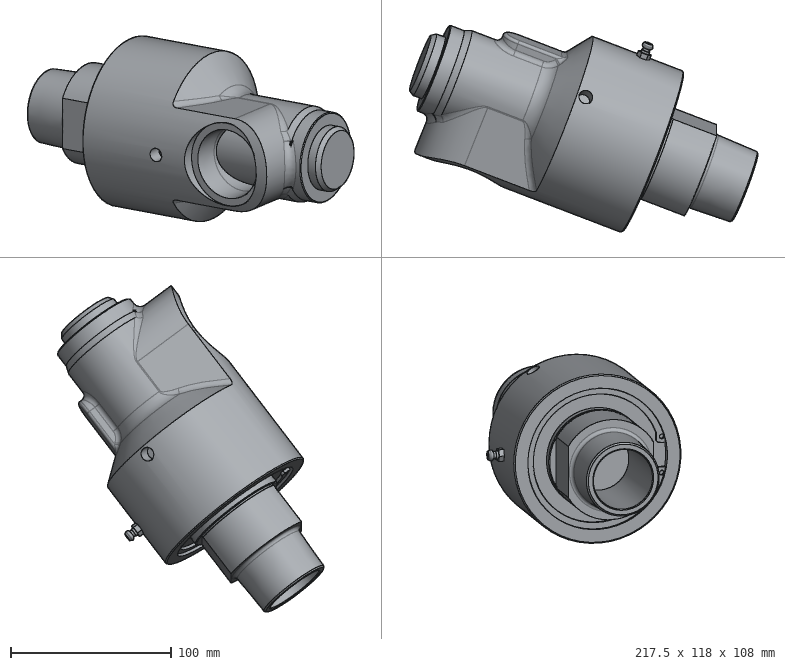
import cadquery as cq
import math

THREAD_END = 27.4
COLLAR_START = 29.7
COLLAR_END = 58.8
FLANGE_START = 60.1
BODY_START = 61.9
CONE_START = 122.9
TAIL_START = 147.0
TAIL_STEP_START = 194.8
TAIL_STEP_END = 199.3
TAIL_END = 208.8
PLUG_CHAMFER_START = 214.6
TOTAL_LENGTH = 217.53

TOTAL_WIDTH = 117.99

SHAFT_BORE_R = 38.1 / 2
SHAFT_BORE_DEPTH = 58.0
SHAFT_BORE_CHAMFER = 0.6
THREAD_START_R = 23.5
THREAD_END_R = 24.5
THREAD_CHAMFER = 1.0
COLLAR_FILLET_R = 53.7 / 2
COLLAR_R = 64.0 / 2
NECK_R = 31.3
FLANGE_CHAMFER = 0.6
WRENCH_HALF_WIDTH = 27.5

BODY_R = 54.0
BODY_CHAMFER = 0.8
CONE_ANGLE = math.radians(52)
TAIL_R = 30.4
TAIL_END_R = 28.7
TAIL_CHAMFER = 0.6
PLUG_R = 20.6
PLUG_TIP_R = 18.6

RECESS_R = 90.07 / 2
RECESS_DEPTH = 4.0
RING_INNER_R = 41.0
RING_THICKNESS = 2.0
RING_GAP_HALF = 7.85
LUG_INNER_DISTANCE = 38.4
LUG_LENGTH = 6.5
LUG_FILLET = 2.0
LUG_HOLE_D = 3.0
LUG_HOLE_Y = 42.0
LUG_HOLE_Z = 11.6

BOSS_HALF_WIDTH = 30.0
BOSS_X = 170.3
BOSS_BLEND_R = 5.0
BOSS_OVERLAP = 2.0
PORT_X = 165.5
SPOTFACE_R = 53.7 / 2
SPOTFACE_DISTANCE = 46.0
PORT_BORE_R = 43.26 / 2
PORT_THREAD_LENGTH = 17.5
PORT_TAPER = 1 / 32
PORT_R = PORT_BORE_R + PORT_THREAD_LENGTH * PORT_TAPER
CORE_R = 26.0

PAD_TOP = 37.5
PAD_HALF_WIDTH = 10.0
PAD_X = 166.0
PAD_EDGE_FILLET = 2.0
PAD_BLEND_R = 3.8

JOINT_TOLERANCE = 0.001

RADIAL_HOLE_D = 8.6
RADIAL_HOLE_DEPTH = 10.0
RADIAL_HOLE_X = 117.2
RADIAL_HOLE_COUNT = 3

NIPPLE_X = 89.4
NIPPLE_HEX_D = 8.6
NIPPLE_HEX_HEIGHT = 3.2
NIPPLE_NECK_R = 5.36 / 2
NIPPLE_GROOVE_R = 2.3
NIPPLE_GROOVE_START = 4.7
NIPPLE_HEAD_R = 3.4
NIPPLE_HEAD_START = 6.2
NIPPLE_HEAD_END = 8.3
NIPPLE_TOP = 9.6
NIPPLE_TOTAL = TOTAL_WIDTH - 2 * BODY_R
NIPPLE_BALL_R = 3.17 / 2
NIPPLE_EMBED = 2.0


def x_cylinder(radius, start, end):
    return cq.Workplane("YZ", origin=(start, 0, 0)).circle(radius).extrude(end - start)


def y_cylinder(radius, x, start, end):
    """Cylinder along +Y from start to end."""
    return cq.Workplane("XZ", origin=(x, start, 0)).circle(radius).extrude(start - end)


def revolved_core():
    """Shaft, body and tail as one turned shape about the X axis."""
    blend_r = blend_radius()
    blend_start_x = TAIL_START - blend_r * math.sin(CONE_ANGLE)
    blend_start_r = TAIL_R + blend_r * (1 - math.cos(CONE_ANGLE))
    blend_mid_x = TAIL_START - blend_r * math.sin(CONE_ANGLE / 2)
    blend_mid_r = TAIL_R + blend_r * (1 - math.cos(CONE_ANGLE / 2))
    return (
        cq.Workplane("XY")
        .moveTo(0, 0)
        .lineTo(0, THREAD_START_R - THREAD_CHAMFER)
        .lineTo(THREAD_CHAMFER, THREAD_START_R)
        .lineTo(THREAD_END, THREAD_END_R)
        .tangentArcPoint((COLLAR_START, COLLAR_FILLET_R), relative=False)
        .lineTo(COLLAR_START, COLLAR_R)
        .lineTo(COLLAR_END, COLLAR_R)
        .lineTo(COLLAR_END, NECK_R)
        .lineTo(FLANGE_START, NECK_R)
        .lineTo(FLANGE_START, COLLAR_R - FLANGE_CHAMFER)
        .lineTo(FLANGE_START + FLANGE_CHAMFER, COLLAR_R)
        .lineTo(BODY_START, COLLAR_R)
        .lineTo(BODY_START, BODY_R - BODY_CHAMFER)
        .lineTo(BODY_START + BODY_CHAMFER, BODY_R)
        .lineTo(CONE_START, BODY_R)
        .lineTo(blend_start_x, blend_start_r)
        .threePointArc((blend_mid_x, blend_mid_r), (TAIL_START, TAIL_R))
        .lineTo(TAIL_STEP_START, TAIL_R)
        .lineTo(TAIL_STEP_END, TAIL_END_R)
        .lineTo(TAIL_END - TAIL_CHAMFER, TAIL_END_R)
        .lineTo(TAIL_END, TAIL_END_R - TAIL_CHAMFER)
        .lineTo(TAIL_END, PLUG_R)
        .lineTo(PLUG_CHAMFER_START, PLUG_R)
        .lineTo(TOTAL_LENGTH, PLUG_TIP_R)
        .lineTo(TOTAL_LENGTH, 0)
        .close()
        .revolve(360, (0, 0, 0), (1, 0, 0))
    )


def blend_radius():
    """Radius of the blend that meets the cone from the body edge tangentially."""
    corner_x = CONE_START + (BODY_R - TAIL_R) / math.tan(CONE_ANGLE)
    return (TAIL_START - corner_x) / math.tan(CONE_ANGLE / 2)


def stadium_end(half_width, start_x, centre_x, y_from, y_to):
    """Block along X with a half-round +X end, standing between two Y levels."""
    return (
        cq.Workplane("XZ", origin=(0, y_from, 0))
        .moveTo(start_x, -half_width)
        .lineTo(centre_x, -half_width)
        .threePointArc((centre_x + half_width, 0), (centre_x, half_width))
        .lineTo(start_x, half_width)
        .close()
        .extrude(y_from - y_to)
    )


def port_boss():
    block = stadium_end(BOSS_HALF_WIDTH, CONE_START - BOSS_OVERLAP, BOSS_X, 0, -BODY_R)
    return block.intersect(x_cylinder(BODY_R, CONE_START - BOSS_OVERLAP, TOTAL_LENGTH))


def back_pad():
    pad = stadium_end(PAD_HALF_WIDTH, CONE_START, PAD_X, 0, PAD_TOP)
    return pad.faces(">Y").edges("not <X").fillet(PAD_EDGE_FILLET)


def housing():
    """Turned core with the boss and the pad blended into the cone and the tail."""
    with_boss = blend_joint(revolved_core(), port_boss(), BOSS_BLEND_R)
    return blend_joint(with_boss, back_pad(), PAD_BLEND_R)


def blend_joint(base, addition, radius):
    """Join two shapes and round the concave edges where their skins meet behind the body."""
    joined = base.union(addition)
    behind_body = cq.selectors.BoxSelector((CONE_START, -BODY_R, -BODY_R), (TAIL_END, BODY_R, BODY_R))
    seam_edges = [
        edge
        for edge in joined.edges(behind_body).vals()
        if on_surface_of(edge, base) and on_surface_of(edge, addition)
    ]
    blended = joined.val().fillet(radius, seam_edges)
    return cq.Workplane(blended if blended.isValid() else blended.fix())


def on_surface_of(edge, shape):
    middle = cq.Vertex.makeVertex(*edge.positionAt(0.5).toTuple())
    return min(face.distance(middle) for face in shape.faces().vals()) < JOINT_TOLERANCE


def wrench_flats():
    length = FLANGE_START - COLLAR_START
    thickness = COLLAR_R - WRENCH_HALF_WIDTH
    flat = cq.Workplane("XY").box(length, thickness, 2 * COLLAR_R, centered=(False, False, True))
    flat = flat.translate((COLLAR_START, WRENCH_HALF_WIDTH, 0))
    return flat.union(flat.mirror("XZ"))


def shaft_bore():
    """Blind bore with a chamfered mouth."""
    return (
        cq.Workplane("XY")
        .moveTo(0, 0)
        .lineTo(0, SHAFT_BORE_R + SHAFT_BORE_CHAMFER)
        .lineTo(SHAFT_BORE_CHAMFER, SHAFT_BORE_R)
        .lineTo(SHAFT_BORE_DEPTH, SHAFT_BORE_R)
        .lineTo(SHAFT_BORE_DEPTH, 0)
        .close()
        .revolve(360, (0, 0, 0), (1, 0, 0))
    )


def front_recess():
    """Annular recess around the flange, less the retaining ring left standing in it."""
    recess = x_cylinder(RECESS_R, BODY_START, BODY_START + RECESS_DEPTH)
    recess = recess.cut(x_cylinder(COLLAR_R, BODY_START, BODY_START + RECESS_DEPTH))
    return recess.cut(retaining_ring())


def retaining_ring():
    start = BODY_START + RECESS_DEPTH - RING_THICKNESS
    end = BODY_START + RECESS_DEPTH
    ring = x_cylinder(RECESS_R, start, end).cut(x_cylinder(RING_INNER_R, start, end))
    gap = cq.Workplane("XY").box(RING_THICKNESS, BODY_R, 2 * RING_GAP_HALF, centered=(False, False, True))
    ring = ring.cut(gap.translate((start, -BODY_R, 0)))
    for side in (-1, 1):
        lug = (
            cq.Workplane("XY")
            .box(RING_THICKNESS, BODY_R - LUG_INNER_DISTANCE, LUG_LENGTH, centered=(False, False, True))
            .translate((start, -BODY_R, side * (RING_GAP_HALF + LUG_LENGTH / 2)))
            .edges("|X and >Y")
            .edges("<Z" if side > 0 else ">Z")
            .fillet(LUG_FILLET)
            .intersect(x_cylinder(RECESS_R, start, end))
        )
        hole = x_cylinder(LUG_HOLE_D / 2, start, end).translate((0, -LUG_HOLE_Y, side * LUG_HOLE_Z))
        ring = ring.union(lug).cut(hole)
    return ring


def port_cut():
    """Spotface, tapered thread and bore, stopping on the round inner core."""
    spotface = y_cylinder(SPOTFACE_R, PORT_X, -BODY_R, -SPOTFACE_DISTANCE)
    thread_end_y = PORT_THREAD_LENGTH - SPOTFACE_DISTANCE
    bore = (
        cq.Workplane("XY")
        .moveTo(PORT_X, -SPOTFACE_DISTANCE)
        .lineTo(PORT_X + PORT_R, -SPOTFACE_DISTANCE)
        .lineTo(PORT_X + PORT_BORE_R, thread_end_y)
        .lineTo(PORT_X + PORT_BORE_R, 0)
        .lineTo(PORT_X, 0)
        .close()
        .revolve(360, (PORT_X, 0, 0), (PORT_X, 1, 0))
    )
    inner_core = x_cylinder(CORE_R, PORT_X - BOSS_HALF_WIDTH, PORT_X + BOSS_HALF_WIDTH)
    return spotface.union(bore.cut(inner_core))


def radial_holes():
    hole = y_cylinder(RADIAL_HOLE_D / 2, RADIAL_HOLE_X, -BODY_R, RADIAL_HOLE_DEPTH - BODY_R)
    holes = hole
    for index in range(1, RADIAL_HOLE_COUNT):
        angle = 360 / RADIAL_HOLE_COUNT * index
        holes = holes.union(hole.rotate((0, 0, 0), (1, 0, 0), angle))
    return holes


def grease_nipple():
    hexagon = (
        cq.Workplane("XZ", origin=(NIPPLE_X, BODY_R - NIPPLE_EMBED, 0))
        .polygon(6, NIPPLE_HEX_D)
        .extrude(-NIPPLE_EMBED - NIPPLE_HEX_HEIGHT)
    )
    head_mid = (NIPPLE_HEAD_START + NIPPLE_HEAD_END) / 2
    stem = (
        cq.Workplane("XY", origin=(NIPPLE_X, BODY_R, 0))
        .moveTo(0, 0)
        .lineTo(NIPPLE_NECK_R, 0)
        .lineTo(NIPPLE_NECK_R, NIPPLE_GROOVE_START)
        .lineTo(NIPPLE_GROOVE_R, NIPPLE_GROOVE_START)
        .lineTo(NIPPLE_GROOVE_R, NIPPLE_HEAD_START)
        .threePointArc((NIPPLE_HEAD_R, head_mid), (NIPPLE_HEAD_R, NIPPLE_HEAD_END))
        .lineTo(NIPPLE_NECK_R, NIPPLE_TOP)
        .lineTo(0, NIPPLE_TOP)
        .close()
        .revolve(360, (0, 0, 0), (0, 1, 0))
    )
    ball_y = BODY_R + NIPPLE_TOTAL - NIPPLE_BALL_R
    ball = cq.Workplane("XY", origin=(NIPPLE_X, ball_y, 0)).sphere(NIPPLE_BALL_R)
    return hexagon.union(stem).union(ball)


result = (
    housing()
    .cut(wrench_flats())
    .cut(shaft_bore())
    .cut(front_recess())
    .cut(port_cut())
    .cut(radial_holes())
    .union(grease_nipple())
)